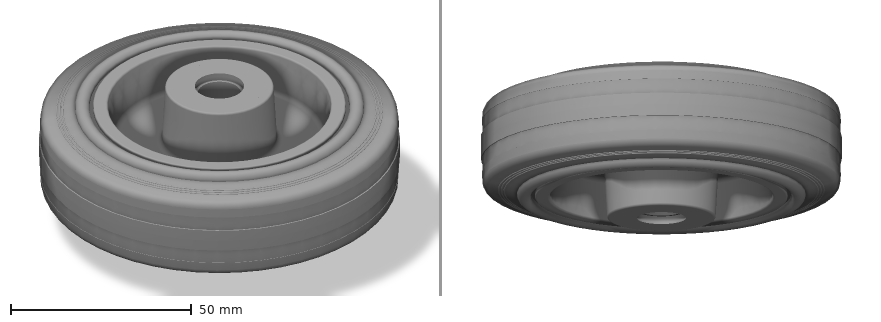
import cadquery as cq
import math


bore_radius = 6.0
sleeve_radius = 6.8
sleeve_recess = 2.2
bush_radius = 12.5

hub_half_length = 20.0
hub_top_radius = 15.0
hub_base_radius = 16.0
hub_edge_fillet = 0.6
hub_base_fillet = 1.5
web_half_thickness = 2.5
rim_half_width = 14.2
rim_radius = 35.0
rim_outer_fillet = 0.5
rim_mouth_radius = 31.0
rim_mouth_fillet = 0.6
rim_base_radius = 29.2
rim_base_fillet = 1.5

tyre_radius = 50.0
crown_arc_radius = 100.0
tread_half_width = 9.8
groove_floor_radius = 49.6
groove_inner_z = 3.2
groove_outer_z = 7.3
shoulder_radius = 47.7
shoulder_z = 11.6
shoulder_bulge = 0.3
bead_center_radius = 38.0
bead_radius = 2.0
bead_center_z = 13.0

ridge_count = 3
ridge_start_radius = 45.3
ridge_width = 0.4
ridge_pitch = 0.8
ridge_height = 0.2

match_tolerance = 0.01


def revolve_about_axle(profile):
    """Turn a closed profile, drawn with radius along X and height along Z, around the axle."""
    return profile.close().revolve(360, (0, 0, 0), (0, 1, 0))


def mirrored_about_middle(upper_half):
    """Complete a body from its half above the XY plane."""
    return upper_half.union(upper_half.mirror("XY"))


def tube(inner_radius, outer_radius, half_length):
    """Plain round tube centred on the origin."""
    ring = cq.Workplane("XY").workplane(offset=-half_length).circle(outer_radius).circle(inner_radius)
    return ring.extrude(2 * half_length)


def round_circular_edge(body, radius, z, fillet):
    """Fillet the one circular edge that has the given radius and height."""
    edges = [
        edge
        for edge in body.edges("%CIRCLE").vals()
        if math.isclose(edge.radius(), radius, abs_tol=match_tolerance)
        and math.isclose(edge.Center().z, z, abs_tol=match_tolerance)
    ]
    return body.newObject(edges).fillet(fillet)


def crown_radius(z):
    """Radius of the crowned tread at height z."""
    return tyre_radius - crown_arc_radius + math.sqrt(crown_arc_radius**2 - z**2)


def crown_arc(profile, z_start, z_end):
    """Add the stretch of tread crown between two heights."""
    z_middle = (z_start + z_end) / 2
    return profile.threePointArc((crown_radius(z_middle), z_middle), (crown_radius(z_end), z_end))


def sidewall_z(radius):
    """Height of the sloping sidewall at a radius between the shoulder and the bead."""
    bead_outer_radius = bead_center_radius + bead_radius
    slope = (bead_center_z - shoulder_z) / (shoulder_radius - bead_outer_radius)
    return shoulder_z + slope * (shoulder_radius - radius)


def make_tyre():
    profile = cq.Workplane("XZ").moveTo(rim_radius, 0).lineTo(tyre_radius, 0)

    profile = crown_arc(profile, 0, groove_inner_z)
    profile = profile.lineTo(groove_floor_radius, groove_inner_z)
    profile = profile.lineTo(groove_floor_radius, groove_outer_z)
    profile = profile.lineTo(crown_radius(groove_outer_z), groove_outer_z)
    profile = crown_arc(profile, groove_outer_z, tread_half_width)

    shoulder_middle_radius = (crown_radius(tread_half_width) + shoulder_radius) / 2 + shoulder_bulge
    shoulder_middle_z = (tread_half_width + shoulder_z) / 2 + shoulder_bulge
    profile = profile.threePointArc(
        (shoulder_middle_radius, shoulder_middle_z), (shoulder_radius, shoulder_z)
    )

    for index in range(ridge_count):
        outer_radius = ridge_start_radius - index * ridge_pitch
        crest_radius = outer_radius - ridge_width / 2
        inner_radius = outer_radius - ridge_width
        profile = profile.lineTo(outer_radius, sidewall_z(outer_radius))
        profile = profile.threePointArc(
            (crest_radius, sidewall_z(crest_radius) + ridge_height),
            (inner_radius, sidewall_z(inner_radius)),
        )

    profile = profile.lineTo(bead_center_radius + bead_radius, bead_center_z)
    profile = profile.threePointArc(
        (bead_center_radius, bead_center_z + bead_radius),
        (bead_center_radius - bead_radius, bead_center_z),
    )
    profile = profile.lineTo(rim_radius, bead_center_z)
    return mirrored_about_middle(revolve_about_axle(profile))


def make_rim():
    profile = (
        cq.Workplane("XZ")
        .moveTo(bush_radius, 0)
        .lineTo(bush_radius, hub_half_length)
        .lineTo(hub_top_radius, hub_half_length)
        .lineTo(hub_base_radius, web_half_thickness)
        .lineTo(rim_base_radius, web_half_thickness)
        .lineTo(rim_mouth_radius, rim_half_width)
        .lineTo(rim_radius, rim_half_width)
        .lineTo(rim_radius, 0)
    )
    half = revolve_about_axle(profile)
    rounded_edges = [
        (hub_top_radius, hub_half_length, hub_edge_fillet),
        (hub_base_radius, web_half_thickness, hub_base_fillet),
        (rim_base_radius, web_half_thickness, rim_base_fillet),
        (rim_mouth_radius, rim_half_width, rim_mouth_fillet),
        (rim_radius, rim_half_width, rim_outer_fillet),
    ]
    for radius, z, fillet in rounded_edges:
        half = round_circular_edge(half, radius, z, fillet)
    return mirrored_about_middle(half)


tyre = make_tyre()
rim = make_rim()
bush = tube(sleeve_radius, bush_radius, hub_half_length)
sleeve = tube(bore_radius, sleeve_radius, hub_half_length - sleeve_recess)

result = cq.Compound.makeCompound([tyre.val(), rim.val(), bush.val(), sleeve.val()])